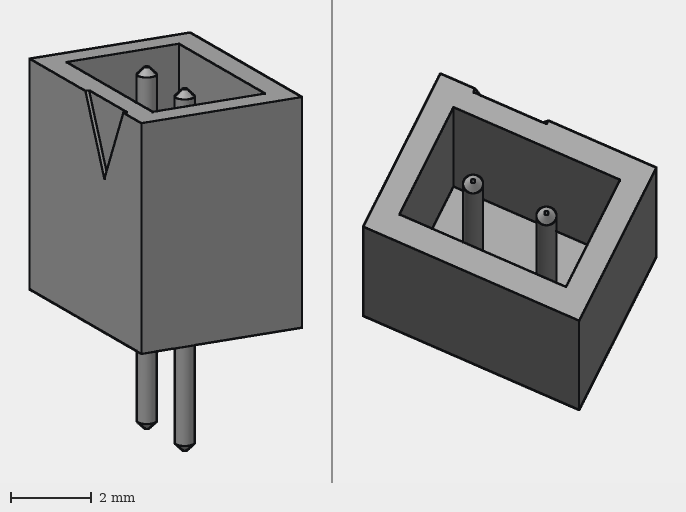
import cadquery as cq

HOUSING_WIDTH = 5.9
HOUSING_DEPTH = 4.5
WALL = 0.68
FLOOR = WALL

PIN_COUNT = 2
PIN_PITCH = 2.0
PIN_DIAMETER = 0.5
PIN_LENGTH = 9.4
PIN_PROJECTION = 3.4
TIP_CHAMFER = 0.2

HOUSING_HEIGHT = PIN_LENGTH - PIN_PROJECTION

MARKER_SIZE = PIN_PITCH
MARKER_DEPTH = 0.1

pin_positions = [(i - (PIN_COUNT - 1) / 2) * PIN_PITCH for i in range(PIN_COUNT)]


def make_marker():
    """Triangular prism above the last pin, entering the front face."""
    centre_x = pin_positions[-1]
    return (
        cq.Workplane("XZ", origin=(centre_x, -HOUSING_DEPTH / 2, HOUSING_HEIGHT))
        .moveTo(-MARKER_SIZE / 2, 0)
        .lineTo(MARKER_SIZE / 2, 0)
        .lineTo(0, -MARKER_SIZE)
        .close()
        .extrude(-MARKER_DEPTH)
    )


def make_housing():
    """Box with a rectangular cavity, pin holes through the floor and the marker."""
    cavity = (
        cq.Workplane("XY", origin=(0, 0, FLOOR))
        .rect(HOUSING_WIDTH - 2 * WALL, HOUSING_DEPTH - 2 * WALL)
        .extrude(HOUSING_HEIGHT - FLOOR)
    )
    pin_holes = (
        cq.Workplane("XY")
        .pushPoints([(x, 0) for x in pin_positions])
        .circle(PIN_DIAMETER / 2)
        .extrude(FLOOR)
    )
    return (
        cq.Workplane("XY")
        .rect(HOUSING_WIDTH, HOUSING_DEPTH)
        .extrude(HOUSING_HEIGHT)
        .cut(cavity)
        .cut(pin_holes)
        .cut(make_marker())
    )


def make_pin(x):
    """Round pin with chamfered tips, standing at the given X."""
    return (
        cq.Workplane("XY", origin=(x, 0, -PIN_PROJECTION))
        .circle(PIN_DIAMETER / 2)
        .extrude(PIN_LENGTH)
        .faces("<Z or >Z")
        .chamfer(TIP_CHAMFER)
    )


housing = make_housing()
pins = [make_pin(x) for x in pin_positions]

result = cq.Compound.makeCompound([housing.val(), *[pin.val() for pin in pins]])